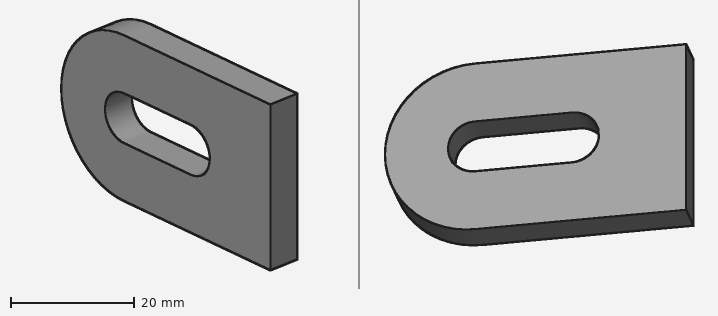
import cadquery as cq

length = 50.0
height = 30.0
thickness = 6.0
slot_width = 9.0
slot_travel = 16.0

end_radius = height / 2
straight_length = length - end_radius


def plate():
    """Flat plate with one full-round end centred on the origin, standing in the XZ plane."""
    return (
        cq.Workplane("XZ")
        .moveTo(0, -end_radius)
        .lineTo(straight_length, -end_radius)
        .lineTo(straight_length, end_radius)
        .lineTo(0, end_radius)
        .threePointArc((-end_radius, 0), (0, -end_radius))
        .close()
        .extrude(thickness / 2, both=True)
    )


def slot():
    """Through slot whose first end arc is concentric with the rounded plate end."""
    return (
        cq.Workplane("XZ")
        .center(slot_travel / 2, 0)
        .slot2D(slot_travel + slot_width, slot_width)
        .extrude(thickness, both=True)
    )


result = plate().cut(slot())